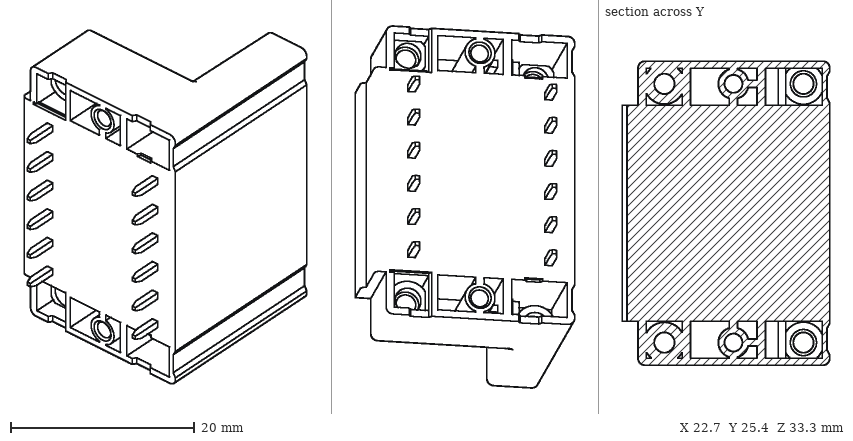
import cadquery as cq
import math


HOUSING_WIDTH = 22.7
HOUSING_HEIGHT = 33.25
HOUSING_DEPTH = 21.88
BASE_DEPTH = 9.25
HALF_HEIGHT = HOUSING_HEIGHT / 2

MIDDLE_HALF_HEIGHT = 11.8
FRONT_STEP = 0.53
FRONT_STEP_Y = 6.12
FRONT_STEP_RADIUS = 0.6
UPRIGHT_TOP_X = 15.85
UPRIGHT_STEP_X = 15.55
UPRIGHT_STEP_Y = 18.8
UPRIGHT_FOOT_X = 15.25
FOOT_FILLET = 0.93

END_LEFT_X = 1.73
END_UPRIGHT_BACK_X = 16.95
END_UPRIGHT_FOOT_X = 16.75
END_EDGE_RADIUS = 0.8
END_FOOT_FILLET = 0.2

HOLLOW_DEPTH = 0.3
HOLLOW_FLAT = 2.4
HOLLOW_LENGTH = 3.52
HOLLOW_Z = 13.75

END_WALL = 0.8
POCKET_BOTTOM_Z = MIDDLE_HALF_HEIGHT
POCKET_TOP_Z = HALF_HEIGHT - END_WALL
FASTENER_Z = 14.13
LEFT_POCKET_X = (2.65, 6.55)
LEFT_POCKET_DEPTH = 7.98
BOSS_POCKET_X = (7.48, 14.73)
BOSS_POCKET_DEPTH = 7.98
RIGHT_POCKET_X = (15.7, 21.85)
RIGHT_POCKET_STEPS_X = (17.05, 17.85)
RIGHT_POCKET_DEPTHS = (6.65, 7.3, 9.3)

SCREW_X = (4.62, 19.82)
SCREW_HOLE_RADIUS = 1.1
SCREW_RECESS_RADIUS = 1.43
SCREW_RECESS_DEPTH = 1.33
SCREW_COLUMN_RADIUS = 2.23
SCREW_COLUMN_FACE_Y = (2.43, 7.98)

BOSS_X = 12.17
BOSS_RADIUS = 1.65
BOSS_RIM_RADIUS = 1.23
BOSS_BORE_RADIUS = 0.95
BOSS_BORE_DEPTH = 6.65
BOSS_RIB_WIDTH = 0.93
SIDE_RIB_WIDTH = 0.8
SIDE_RIB_SETBACK = 3.32

NOTCH_DEPTH = 0.43
NOTCH_SLOPE = 0.25
LEDGE_BOTTOM_Z = 11.55
LEFT_NOTCH_X = (4.3, 6.8)
LEFT_LEDGE_X = (2.13, 6.8)
RIGHT_NOTCH_X = (16.45, 19.05)
RIGHT_LEDGE_X = (17.15, 19.15)

PINS_PER_ROW = 6
PIN_PITCH = 3.82
PIN_ROWS_X = (4.55, 19.8)
PIN_WIDTH = 0.8
PIN_TIP_WIDTH = 0.43
PIN_LENGTH = 3.52
PIN_TIP_LENGTH = 0.8
PIN_ROOT = 0.65


def box(x_range, y_range, z_range):
    """Box from the low and high limit along each axis."""
    sizes = [high - low for low, high in (x_range, y_range, z_range)]
    corner = (x_range[0], y_range[0], z_range[0])
    return cq.Workplane("XY").box(*sizes, centered=False).translate(corner)


def rod(x, z, radius, y_start, y_end):
    """Cylinder along Y."""
    axis = cq.Vector(0, 1, 0)
    return cq.Workplane(cq.Solid.makeCylinder(radius, y_end - y_start, cq.Vector(x, y_start, z), axis))


def cone(x, z, start_radius, end_radius, y_start, y_end):
    """Cone frustum along Y."""
    axis = cq.Vector(0, 1, 0)
    return cq.Workplane(
        cq.Solid.makeCone(start_radius, end_radius, y_end - y_start, cq.Vector(x, y_start, z), axis)
    )


def extrude_both_ways(profile, half_height):
    return profile.extrude(half_height, both=True)


def foot_arc_ends(foot_x, slope, radius):
    """Tangent points on the base and on the sloped upright of an arc filling their corner."""
    tangent_length = radius * math.tan((math.pi / 2 - math.atan(slope)) / 2)
    along_slope = tangent_length / math.hypot(1, slope)
    on_base = (foot_x - tangent_length, BASE_DEPTH)
    on_upright = (foot_x + slope * along_slope, BASE_DEPTH + along_slope)
    return on_base, on_upright


def middle_section():
    """L-shaped middle section with its stepped and sloped side faces."""
    slope = (UPRIGHT_STEP_X - UPRIGHT_FOOT_X) / (UPRIGHT_STEP_Y - BASE_DEPTH)
    arc_start, arc_end = foot_arc_ends(UPRIGHT_FOOT_X, slope, FOOT_FILLET)
    step_rise = math.sqrt(FRONT_STEP_RADIUS ** 2 - (FRONT_STEP_RADIUS - FRONT_STEP) ** 2)
    profile = (
        cq.Workplane("XY")
        .moveTo(HOUSING_WIDTH, 0)
        .lineTo(2 * FRONT_STEP, 0)
        .radiusArc((FRONT_STEP, FRONT_STEP), FRONT_STEP)
        .lineTo(FRONT_STEP, FRONT_STEP_Y - step_rise)
        .radiusArc((0, FRONT_STEP_Y), FRONT_STEP_RADIUS)
        .lineTo(0, BASE_DEPTH)
        .lineTo(*arc_start)
        .radiusArc(arc_end, -FOOT_FILLET)
        .lineTo(UPRIGHT_STEP_X, UPRIGHT_STEP_Y)
        .lineTo(UPRIGHT_TOP_X, UPRIGHT_STEP_Y)
        .lineTo(UPRIGHT_TOP_X, HOUSING_DEPTH)
        .lineTo(HOUSING_WIDTH, HOUSING_DEPTH)
        .close()
    )
    return extrude_both_ways(profile, MIDDLE_HALF_HEIGHT)


def end_sections():
    """L-shaped body over the full height, with rounded edges running along Y."""
    base = box((END_LEFT_X, HOUSING_WIDTH), (0, BASE_DEPTH), (-HALF_HEIGHT, HALF_HEIGHT))
    base = base.edges("|Y").fillet(END_EDGE_RADIUS)
    slope = (END_UPRIGHT_BACK_X - END_UPRIGHT_FOOT_X) / (HOUSING_DEPTH - BASE_DEPTH)
    upright_profile = cq.Workplane("XY").polyline(
        [
            (HOUSING_WIDTH, 0),
            (END_UPRIGHT_FOOT_X - BASE_DEPTH * slope, 0),
            (END_UPRIGHT_BACK_X, HOUSING_DEPTH),
            (HOUSING_WIDTH, HOUSING_DEPTH),
        ]
    ).close()
    upright = extrude_both_ways(upright_profile, HALF_HEIGHT)
    upright = upright.faces("<X or >X").edges("not |Z").fillet(END_EDGE_RADIUS)
    arc_start, arc_end = foot_arc_ends(END_UPRIGHT_FOOT_X, slope, END_FOOT_FILLET)
    foot_profile = (
        cq.Workplane("XY")
        .moveTo(*arc_start)
        .radiusArc(arc_end, -END_FOOT_FILLET)
        .lineTo(HOUSING_WIDTH, arc_end[1])
        .lineTo(HOUSING_WIDTH, 0)
        .lineTo(arc_start[0], 0)
        .close()
    )
    foot_envelope = upright.translate((-END_FOOT_FILLET, 0, 0))
    foot = extrude_both_ways(foot_profile, HALF_HEIGHT).intersect(foot_envelope)
    return base.union(upright).union(foot)


def side_hollow(side):
    """Cutter for the hollow in the right side; side is +1 (upper end) or -1 (lower end)."""
    middle = side * HOLLOW_Z
    return (
        cq.Workplane("XZ")
        .polyline(
            [
                (HOUSING_WIDTH, middle - HOLLOW_LENGTH / 2),
                (HOUSING_WIDTH - HOLLOW_DEPTH, middle - HOLLOW_FLAT / 2),
                (HOUSING_WIDTH - HOLLOW_DEPTH, middle + HOLLOW_FLAT / 2),
                (HOUSING_WIDTH, middle + HOLLOW_LENGTH / 2),
            ]
        )
        .close()
        .extrude(-HOUSING_DEPTH)
    )


def notch(x_range, z_range):
    """Trapezoidal relief cutter, widest at the front face."""
    low, high = x_range
    return (
        cq.Workplane("XY")
        .workplane(offset=z_range[0])
        .polyline(
            [
                (low, 0),
                (low + NOTCH_SLOPE, NOTCH_DEPTH),
                (high - NOTCH_SLOPE, NOTCH_DEPTH),
                (high, 0),
            ]
        )
        .close()
        .extrude(z_range[1] - z_range[0])
    )


def boss_pocket():
    """Middle pocket cutter, leaving a bored boss held by three ribs."""
    z_range = (POCKET_BOTTOM_Z, POCKET_TOP_Z)
    y_range = (0, BOSS_POCKET_DEPTH)
    half_rib = BOSS_RIB_WIDTH / 2
    half_side_rib = SIDE_RIB_WIDTH / 2
    cutter = box(BOSS_POCKET_X, y_range, z_range)
    cutter = cutter.cut(rod(BOSS_X, FASTENER_Z, BOSS_RADIUS, *y_range))
    cutter = cutter.cut(box((BOSS_X - half_rib, BOSS_X + half_rib), y_range, z_range))
    cutter = cutter.cut(
        box(
            (BOSS_X, BOSS_POCKET_X[1]),
            (SIDE_RIB_SETBACK, BOSS_POCKET_DEPTH),
            (FASTENER_Z - half_side_rib, FASTENER_Z + half_side_rib),
        )
    )
    rim_depth = BOSS_RIM_RADIUS - BOSS_BORE_RADIUS
    cutter = cutter.union(rod(BOSS_X, FASTENER_Z, BOSS_BORE_RADIUS, 0, BOSS_BORE_DEPTH))
    return cutter.union(cone(BOSS_X, FASTENER_Z, BOSS_RIM_RADIUS, BOSS_BORE_RADIUS, 0, rim_depth))


def right_pocket():
    """Right pocket cutter, its floor stepping deeper toward the screw hole."""
    starts = (RIGHT_POCKET_X[0],) + RIGHT_POCKET_STEPS_X
    cutter = None
    for start, depth in zip(starts, RIGHT_POCKET_DEPTHS):
        step = box((start, RIGHT_POCKET_X[1]), (0, depth), (POCKET_BOTTOM_Z, POCKET_TOP_Z))
        cutter = step if cutter is None else cutter.union(step)
    return cutter


def screw_column(x, face_y):
    """Solid column left standing around a screw hole."""
    return rod(x, FASTENER_Z, SCREW_COLUMN_RADIUS, face_y, HOUSING_DEPTH)


def screw_hole(x, face_y):
    """Through hole with a round recess in the face of its column."""
    recess = rod(x, FASTENER_Z, SCREW_RECESS_RADIUS, 0, face_y + SCREW_RECESS_DEPTH)
    return rod(x, FASTENER_Z, SCREW_HOLE_RADIUS, 0, HOUSING_DEPTH).union(recess)


def upper_end_cutters():
    """Everything removed from the upper end section through its front face."""
    wall_z = (POCKET_BOTTOM_Z, HALF_HEIGHT)
    ledge_z = (LEDGE_BOTTOM_Z, POCKET_BOTTOM_Z)
    left_x, right_x = SCREW_X
    left_face_y, right_face_y = SCREW_COLUMN_FACE_Y
    left_pocket = box(LEFT_POCKET_X, (0, LEFT_POCKET_DEPTH), (POCKET_BOTTOM_Z, POCKET_TOP_Z))
    return [
        left_pocket.cut(screw_column(left_x, left_face_y)),
        boss_pocket(),
        right_pocket().cut(screw_column(right_x, right_face_y)),
        screw_hole(left_x, left_face_y),
        screw_hole(right_x, right_face_y),
        notch(LEFT_NOTCH_X, wall_z),
        notch(LEFT_LEDGE_X, ledge_z),
        notch(RIGHT_NOTCH_X, wall_z),
        notch(RIGHT_LEDGE_X, ledge_z),
    ]


def pin(x, z):
    """Square pin with a tapered tip, pointing toward -Y."""
    half = PIN_WIDTH / 2
    taper_start = PIN_TIP_LENGTH - PIN_LENGTH
    shank = box((x - half, x + half), (taper_start, PIN_ROOT), (z - half, z + half))
    tip = (
        cq.Workplane("XZ", origin=(x, taper_start, z))
        .rect(PIN_WIDTH, PIN_WIDTH)
        .workplane(offset=PIN_TIP_LENGTH)
        .rect(PIN_TIP_WIDTH, PIN_TIP_WIDTH)
        .loft()
    )
    return shank.union(tip)


result = middle_section().union(end_sections())
for cutter in upper_end_cutters():
    result = result.cut(cutter).cut(cutter.mirror("XY"))
for side in (1, -1):
    result = result.cut(side_hollow(side))
for row_x in PIN_ROWS_X:
    for index in range(PINS_PER_ROW):
        pin_z = (index - (PINS_PER_ROW - 1) / 2) * PIN_PITCH
        result = result.union(pin(row_x, pin_z))